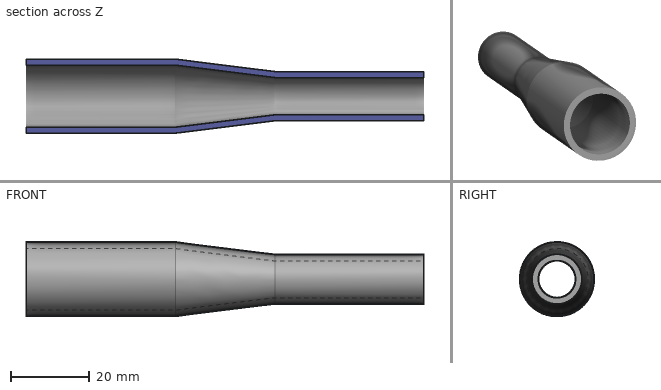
import cadquery as cq

large_diameter = 19.05
small_diameter = 12.7
wall_thickness = 1.65
tube_length = 38.1
taper_length = 25.4

taper_start = tube_length
taper_end = taper_start + taper_length
total_length = taper_end + tube_length


def stepped_taper(large_radius, small_radius):
    """Solid about the X axis: large cylinder, cone, small cylinder."""
    return (
        cq.Workplane("XY")
        .moveTo(0, 0)
        .lineTo(0, large_radius)
        .lineTo(taper_start, large_radius)
        .lineTo(taper_end, small_radius)
        .lineTo(total_length, small_radius)
        .lineTo(total_length, 0)
        .close()
        .revolve(360, (0, 0, 0), (1, 0, 0))
    )


outer_body = stepped_taper(large_diameter / 2, small_diameter / 2)
bore = stepped_taper(
    large_diameter / 2 - wall_thickness,
    small_diameter / 2 - wall_thickness,
)

result = outer_body.cut(bore)